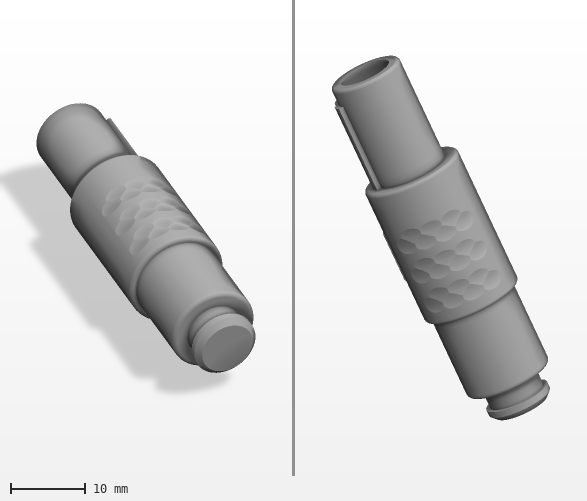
import cadquery as cq
import math


plug_radius = 5.0
plug_length = 15.0
plug_fillet = 0.5
bore_radius = 3.55
bore_depth = plug_length

body_radius = 6.85
body_length = 20.0
body_fillet = 0.5

sleeve_radius = 6.0
sleeve_length = 12.0
sleeve_fillet = 0.6

neck_radius = 3.9
neck_length = 2.6
flange_radius = 4.5
flange_length = 1.7
flange_chamfer = 0.8

body_start = plug_length
body_end = body_start + body_length
sleeve_end = body_end + sleeve_length
neck_end = sleeve_end + neck_length
flange_end = neck_end + flange_length

key_radius = 5.62
key_start = 2.5
key_half_width = 2.77
key_flank_tilt = 18.0
key_gap = 1.7

pin_radius = 0.7
pin_spacing = 2.8
pin_tip = 8.0

dimple_depth = 0.22
dimple_cutter_radius = 3.3
dimple_cutter_length = 6.0
dimple_step_angle = 360 / 14
dimple_group_count = 3
dimple_group_pitch = 4.5
first_group_start = 21.85
dimple_column_offset = 1.1

pad_height = 0.15
pad_start = 21.5
pad_length = 6.9
pad_width = 2.9


def rod(radius, start, end):
    """Cylinder along X between two stations."""
    return cq.Workplane("YZ", origin=(start, 0, 0)).circle(radius).extrude(end - start)


def block(start, end, y_start, y_end, width):
    """Rectangular block centred on z = 0."""
    return (
        cq.Workplane("XY", origin=(0, 0, -width / 2))
        .moveTo(start, y_start)
        .rect(end - start, y_end - y_start, centered=False)
        .extrude(width)
    )


def make_shell():
    """Turned outer shape with rounded ends, solid inside."""
    plug = rod(plug_radius, 0, body_start).faces("<X").edges().fillet(plug_fillet)
    body = rod(body_radius, body_start, body_end).edges("%CIRCLE").fillet(body_fillet)
    sleeve = rod(sleeve_radius, body_end, sleeve_end).faces(">X").edges().fillet(sleeve_fillet)
    neck = rod(neck_radius, sleeve_end, neck_end)
    flange = rod(flange_radius, neck_end, flange_end).faces(">X").edges().chamfer(flange_chamfer)
    return plug.union(body).union(sleeve).union(neck).union(flange)


def make_keys():
    """Two keys side by side, with a parallel gap between them and slightly undercut outer flanks."""
    corner_y = math.sqrt(key_radius**2 - key_half_width**2)
    flank_slope = math.tan(math.radians(key_flank_tilt))
    inner_half_width = key_half_width - corner_y * flank_slope
    outer_half_width = inner_half_width + key_radius * flank_slope
    envelope = (
        cq.Workplane("YZ", origin=(key_start, 0, 0))
        .moveTo(0, -inner_half_width)
        .lineTo(key_radius, -outer_half_width)
        .lineTo(key_radius, outer_half_width)
        .lineTo(0, inner_half_width)
        .close()
        .extrude(body_start - key_start)
    )
    ring = rod(key_radius, key_start, body_start).cut(rod(bore_radius, key_start, body_start))
    return ring.intersect(envelope).cut(block(key_start, body_start, 0, key_radius, key_gap))


def make_pad():
    """Raised pad, concentric with the body."""
    pad_radius = body_radius + pad_height
    pad_end = pad_start + pad_length
    return rod(pad_radius, pad_start, pad_end).intersect(
        block(pad_start, pad_end, body_radius - body_fillet, pad_radius, pad_width)
    )


def make_pin(y):
    """Contact pin with a hemispherical tip, standing on the bore floor."""
    dome_center = pin_tip + pin_radius
    dome = cq.Workplane("XY").sphere(pin_radius).translate((dome_center, 0, 0))
    return rod(pin_radius, dome_center, bore_depth).union(dome).translate((0, y, 0))


def make_dimple_cutter(x, angle):
    """Crosswise cylinder at station x, turned by an angle about X away from +Z."""
    axis_height = body_radius - dimple_depth + dimple_cutter_radius
    return (
        cq.Workplane("XZ")
        .center(x, axis_height)
        .circle(dimple_cutter_radius)
        .extrude(dimple_cutter_length / 2, both=True)
        .rotate((0, 0, 0), (1, 0, 0), angle)
    )


def cut_dimples(part):
    """Staggered columns of three and four dimples, on the top and on the bottom."""
    for side_angle in (0, 180):
        for group in range(dimple_group_count):
            x = first_group_start + group * dimple_group_pitch
            for step in (-1, 0, 1):
                part = part.cut(make_dimple_cutter(x, side_angle + step * dimple_step_angle))
            x += dimple_column_offset
            for step in (-1.5, -0.5, 0.5, 1.5):
                part = part.cut(make_dimple_cutter(x, side_angle + step * dimple_step_angle))
    return part


result = cut_dimples(make_shell()).union(make_keys()).union(make_pad())
result = result.cut(rod(bore_radius, 0, bore_depth))
for pin_y in (-pin_spacing / 2, pin_spacing / 2):
    result = result.union(make_pin(pin_y))